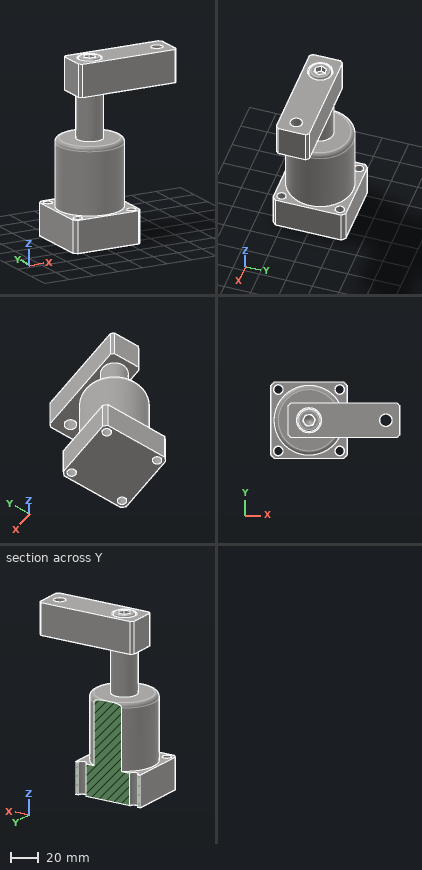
import cadquery as cq
import math

OVERALL_HEIGHT = 137.0

FLANGE_SIDE = 55.0
FLANGE_HEIGHT = 25.0
CORNER_CIRCLE_DIAMETER = 74.0
FLANGE_HOLE_DIAMETER = 6.6
FLANGE_HOLE_SPACING = 44.0
BARREL_DIAMETER = 50.0
BARREL_TOP = 76.0
BARREL_FILLET = 3.0

ARM_LENGTH = 80.0
ARM_WIDTH = 25.0
ARM_HEIGHT = 25.0
ARM_OVERHANG = 15.0
ARM_CHAMFER = 2.0
ARM_HOLE_DIAMETER = 8.8
ARM_HOLE_END_DISTANCE = 10.0

ROD_DIAMETER = 20.0

HEAD_PROTRUSION = 1.0
HEAD_DIAMETER = 16.0
HEAD_HEIGHT = 10.0
HEAD_FILLET = 1.2
SHANK_DIAMETER = 10.0
SHANK_LENGTH = 30.0
SOCKET_WIDTH = 8.0
SOCKET_DEPTH = 5.0
SOCKET_TURN = 5.0
SOCKET_TIP_ANGLE = 120.0
COUNTERBORE_DIAMETER = 18.0

arm_top = OVERALL_HEIGHT - HEAD_PROTRUSION
arm_bottom = arm_top - ARM_HEIGHT
head_bottom = OVERALL_HEIGHT - HEAD_HEIGHT
shank_bottom = head_bottom - SHANK_LENGTH
arm_center_x = ARM_LENGTH / 2 - ARM_OVERHANG
arm_hole_x = ARM_LENGTH - ARM_OVERHANG - ARM_HOLE_END_DISTANCE


def cylinder(diameter, bottom, top):
    return cq.Workplane("XY").workplane(offset=bottom).circle(diameter / 2).extrude(top - bottom)


def make_housing():
    flange = (
        cq.Workplane("XY")
        .rect(FLANGE_SIDE, FLANGE_SIDE)
        .extrude(FLANGE_HEIGHT)
        .intersect(cylinder(CORNER_CIRCLE_DIAMETER, 0, FLANGE_HEIGHT))
    )
    holes = (
        cq.Workplane("XY")
        .rect(FLANGE_HOLE_SPACING, FLANGE_HOLE_SPACING, forConstruction=True)
        .vertices()
        .circle(FLANGE_HOLE_DIAMETER / 2)
        .extrude(FLANGE_HEIGHT)
    )
    barrel = cylinder(BARREL_DIAMETER, FLANGE_HEIGHT, BARREL_TOP).faces(">Z").edges().fillet(BARREL_FILLET)
    return flange.cut(holes).union(barrel)


def make_rod():
    threaded_hole = cylinder(SHANK_DIAMETER, shank_bottom, arm_bottom)
    return cylinder(ROD_DIAMETER, BARREL_TOP, arm_bottom).cut(threaded_hole)


def make_arm():
    bar = (
        cq.Workplane("XY")
        .box(ARM_LENGTH, ARM_WIDTH, ARM_HEIGHT, centered=(True, True, False))
        .edges("|Z")
        .chamfer(ARM_CHAMFER)
        .translate((arm_center_x, 0, arm_bottom))
    )
    end_hole = cylinder(ARM_HOLE_DIAMETER, arm_bottom, arm_top).translate((arm_hole_x, 0, 0))
    counterbore = cylinder(COUNTERBORE_DIAMETER, head_bottom, arm_top)
    shank_hole = cylinder(SHANK_DIAMETER, arm_bottom, head_bottom)
    return bar.cut(end_hole).cut(counterbore).cut(shank_hole)


def make_socket():
    corner_diameter = SOCKET_WIDTH / math.cos(math.pi / 6)
    hexagon = (
        cq.Workplane("XY")
        .workplane(offset=OVERALL_HEIGHT - SOCKET_DEPTH)
        .polygon(6, corner_diameter)
        .extrude(SOCKET_DEPTH)
        .rotate((0, 0, 0), (0, 0, 1), SOCKET_TURN)
    )
    tip_radius = SOCKET_WIDTH / 2
    tip_height = tip_radius / math.tan(math.radians(SOCKET_TIP_ANGLE / 2))
    tip = cq.Solid.makeCone(
        tip_radius, 0, tip_height, pnt=cq.Vector(0, 0, OVERALL_HEIGHT - SOCKET_DEPTH), dir=cq.Vector(0, 0, -1)
    )
    return hexagon.union(cq.Workplane(tip))


def make_screw():
    head = cylinder(HEAD_DIAMETER, head_bottom, OVERALL_HEIGHT).faces(">Z").edges().fillet(HEAD_FILLET)
    shank = cylinder(SHANK_DIAMETER, shank_bottom, head_bottom)
    return head.union(shank).cut(make_socket())


housing = make_housing()
rod = make_rod()
arm = make_arm()
screw = make_screw()

result = cq.Compound.makeCompound([housing.val(), rod.val(), arm.val(), screw.val()])